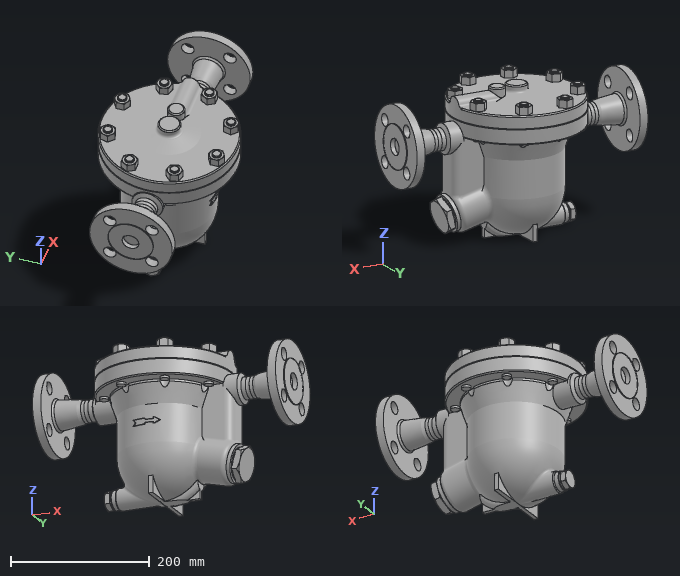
import cadquery as cq
import math

body_radius = 71.0
shell_top = 129.7
cone_top = 159.8
cone_top_radius = 81.0
flange_bottom = 163.2
joint_height = 187.0
cover_top = 207.0
total_height = 225.5
cover_radius = 206.0 / 2
rim_chamfer = 2.0
hexagon_chamfer_angle = 30
joint_groove = 0.8

dome_radius = 46.2
dome_crown_height = 213.3
plug_radius = 33.0 / 2
plug_chamfer = 2.0
plug_foot_fillet = 5.0
side_plug_x = 32.0
side_plug_radius = 25.0 / 2
ridge_radius = 13.0
ridge_foot_fillet = 5.8

bolt_count = 8
bolt_circle_radius = 89.0
bolt_pitch = 360 / bolt_count
nut_flats = 21.0
nut_top = 219.5
stud_radius = 14.0 / 2
stud_top = 222.0
stud_bottom = 159.8
stud_chamfer = 1.0
spot_face_radius = 10.8
spot_face_depth = 15.5

pipe_z = 159.5
hub_radius = 46.5 / 2
inlet_hub_end = 108.0
outlet_hub_end = 125.0
hub_chamfer_length = 3.5
stub_radius = 34.0 / 2
weld_groove_radius = 32.0 / 2
weld_position = 10.0
weld_width = 6.0
stub_length = 18.5
neck_start = 23.5
pad_half_length = 100.0
neck_length = 76.0
flange_radius = 125.0 / 2
flange_thickness = 13.5
raised_face_radius = 68.0 / 2
raised_face_height = 1.5
neck_small_radius = 19.0
neck_large_radius = 22.7
neck_foot_radius = 25.0
neck_foot_length = 3.5
bore_radius = 25.0 / 2
bore_depth = 7.5
flange_hole_radius = 19.0 / 2
flange_hole_circle = 90.0
flange_hole_count = 4

duct_end = 114.5
duct_corner_radius = 12.7
duct_bottom = 73.0
holder_tilt = 14
holder_head_x = 127.5
holder_head_z = 42.5
holder_radius = 67.8 / 2
holder_round = 7.5
holder_fillet = 7.7
holder_length = 77.0
holder_washer_radius = 58.0 / 2
holder_washer_thickness = 6.0
holder_gap = 2.0
holder_hex_flats = 49.5
holder_hex_height = 10.8

drain_radius = 33.5 / 2
drain_z = 17.0
drain_fillet = 4.2
drain_boss_end = 72.8
drain_chamfer = 1.5
drain_washer_radius = 30.0 / 2
drain_washer_end = 79.7
drain_neck_radius = 13.0
drain_neck_end = 82.5
drain_hex_end = 91.2
drain_hex_flats = 26.5

rib_thickness = 7.0
rib_reach = 55.0
rib_fillet = 9.2
rib_height = 27.0

arrow_z = 104.5
arrow_tip = 21.0
arrow_height = 1.5


def disc(radius, bottom, top, x=0.0, y=0.0):
    return cq.Workplane("XY", origin=(x, y, bottom)).circle(radius).extrude(top - bottom)


def hexagon(across_flats, height):
    """Hexagon standing on Z = 0, a corner on +X, with its upper corners turned off to a circle."""
    corner_radius = across_flats / 2 / math.cos(math.radians(30))
    inset = corner_radius - across_flats / 2
    drop = inset * math.tan(math.radians(hexagon_chamfer_angle))
    turned = disc(corner_radius, 0, height).faces(">Z").chamfer(drop, inset)
    return cq.Workplane("XY").polygon(6, 2 * corner_radius).extrude(height).intersect(turned)


def make_shell():
    outline = (
        cq.Workplane("XZ")
        .moveTo(0, 0)
        .radiusArc((body_radius, body_radius), -body_radius)
        .lineTo(body_radius, shell_top)
        .lineTo(cone_top_radius, cone_top)
        .lineTo(cone_top_radius, flange_bottom)
        .lineTo(0, flange_bottom)
        .close()
    )
    spot_face = disc(spot_face_radius, flange_bottom - spot_face_depth, flange_bottom, bolt_circle_radius)
    return outline.revolve(360, (0, 0), (0, 1)).cut(at_bolts(spot_face))


def make_flange_and_cover():
    groove_radius = cover_radius - joint_groove
    outline = (
        cq.Workplane("XZ")
        .moveTo(0, flange_bottom)
        .lineTo(cover_radius - rim_chamfer, flange_bottom)
        .lineTo(cover_radius, flange_bottom + rim_chamfer)
        .lineTo(cover_radius, joint_height - joint_groove)
        .lineTo(groove_radius, joint_height)
        .lineTo(cover_radius, joint_height + joint_groove)
        .lineTo(cover_radius, cover_top - rim_chamfer)
        .lineTo(cover_radius - rim_chamfer, cover_top)
        .lineTo(dome_radius, cover_top)
        .lineTo(plug_radius + plug_foot_fillet, dome_crown_height)
        .radiusArc((plug_radius, dome_crown_height + plug_foot_fillet), plug_foot_fillet)
        .lineTo(plug_radius, total_height - plug_chamfer)
        .lineTo(plug_radius - plug_chamfer, total_height)
        .lineTo(0, total_height)
        .close()
    )
    return outline.revolve(360, (0, 0), (0, 1))


def make_ridge():
    """Half-round passage with flared feet, running from the side plug to the rim of the cover."""
    fillet_reach = ridge_radius + ridge_foot_fillet
    foot = math.sqrt(fillet_reach ** 2 - ridge_foot_fillet ** 2)
    side_y = foot * ridge_radius / fillet_reach
    side_z = ridge_foot_fillet * ridge_radius / fillet_reach
    ridge = (
        cq.Workplane("YZ", origin=(side_plug_x, 0, cover_top))
        .moveTo(-foot, -rim_chamfer)
        .lineTo(-foot, 0)
        .radiusArc((-side_y, side_z), -ridge_foot_fillet)
        .threePointArc((0, ridge_radius), (side_y, side_z))
        .radiusArc((foot, 0), -ridge_foot_fillet)
        .lineTo(foot, -rim_chamfer)
        .close()
        .extrude(cover_radius - side_plug_x)
    )
    return ridge.intersect(disc(cover_radius, cover_top - rim_chamfer, total_height))


def make_side_plug():
    return disc(side_plug_radius, joint_height, total_height, side_plug_x).faces(">Z").chamfer(plug_chamfer)


def at_bolts(shape):
    """Copy a shape built on the +X axis to every bolt place."""
    copies = cq.Workplane("XY")
    for index in range(bolt_count):
        angle = (index + 0.5) * bolt_pitch
        copies = copies.add(shape.rotate((0, 0, 0), (0, 0, 1), angle))
    return copies.combine()


def make_bolt():
    nut = hexagon(nut_flats, nut_top - cover_top).rotate((0, 0, 0), (0, 0, 1), bolt_pitch / 2)
    nut = nut.translate((bolt_circle_radius, 0, cover_top))
    stud = disc(stud_radius, stud_bottom, stud_top, bolt_circle_radius).faces(">Z").chamfer(stud_chamfer)
    return nut.union(stud)


def make_connection(hub_end):
    """Hub, neck and pipe flange along +Z, starting on the main axis."""
    sealing_face = hub_end + neck_length
    flange_front = sealing_face - raised_face_height
    flange_back = flange_front - flange_thickness
    weld_middle = hub_end + weld_position
    weld_start = weld_middle - weld_width / 2
    weld_end = weld_middle + weld_width / 2
    connection = (
        cq.Workplane("XZ")
        .lineTo(hub_radius, 0)
        .lineTo(hub_radius, hub_end - hub_chamfer_length)
        .lineTo(stub_radius, hub_end)
        .lineTo(stub_radius, weld_start)
        .threePointArc((weld_groove_radius, weld_middle), (stub_radius, weld_end))
        .lineTo(stub_radius, hub_end + stub_length)
        .lineTo(neck_small_radius, hub_end + neck_start)
        .lineTo(neck_large_radius, flange_back - neck_foot_length)
        .lineTo(neck_foot_radius, flange_back)
        .lineTo(flange_radius, flange_back)
        .lineTo(flange_radius, flange_front)
        .lineTo(raised_face_radius, flange_front)
        .lineTo(raised_face_radius, sealing_face)
        .lineTo(0, sealing_face)
        .close()
        .revolve(360, (0, 0), (0, 1))
    )
    holes = (
        cq.Workplane("XY", origin=(0, 0, flange_back))
        .polarArray(flange_hole_circle / 2, 45, 360, flange_hole_count)
        .circle(flange_hole_radius)
        .extrude(flange_thickness)
    )
    bore = disc(bore_radius, sealing_face - bore_depth, sealing_face)
    return connection.cut(holes).cut(bore)


def make_connections():
    inlet = make_connection(inlet_hub_end).rotate((0, 0, 0), (0, 1, 0), -90)
    outlet = make_connection(outlet_hub_end).rotate((0, 0, 0), (0, 1, 0), 90)
    pad = cq.Workplane("XY").box(
        2 * pad_half_length, 2 * hub_radius, flange_bottom - pipe_z + rim_chamfer, centered=(True, True, False)
    )
    return inlet.union(outlet).union(pad).translate((0, 0, pipe_z))


def make_duct():
    return (
        cq.Workplane("XY", origin=(0, 0, duct_bottom))
        .rect(2 * duct_end, 2 * hub_radius)
        .extrude(pipe_z - duct_bottom)
        .edges("|Z and >X")
        .fillet(duct_corner_radius)
        .intersect(cq.Workplane("XY").box(duct_end, body_radius, pipe_z, centered=(False, True, False)))
    )


def along_holder(shape):
    """Move a shape built along +Z, head face at Z = 0, onto the holder axis."""
    return (
        shape.rotate((0, 0, 0), (0, 1, 0), 90 + holder_tilt)
        .translate((holder_head_x, 0, holder_head_z))
    )


def make_holder_boss():
    end = -(holder_hex_height + holder_gap + holder_washer_thickness)
    boss = disc(holder_radius, end - holder_length, end)
    return along_holder(boss.faces(">Z").edges().fillet(holder_round))


def make_holder_plug():
    washer_top = -(holder_hex_height + holder_gap)
    washer = disc(holder_washer_radius, washer_top - holder_washer_thickness, washer_top)
    neck = disc(holder_hex_flats / 2, washer_top, -holder_hex_height)
    head = hexagon(holder_hex_flats, holder_hex_height).translate((0, 0, -holder_hex_height))
    return along_holder(washer.union(neck).union(head))


def make_drain_boss():
    return (
        cq.Workplane("YZ", origin=(0, 0, drain_z))
        .circle(drain_radius)
        .extrude(-drain_boss_end)
        .faces("<X")
        .chamfer(drain_chamfer)
    )


def make_drain_plug():
    washer = disc(drain_washer_radius, drain_boss_end, drain_washer_end)
    neck = disc(drain_neck_radius, drain_washer_end, drain_neck_end)
    head = hexagon(drain_hex_flats, drain_hex_end - drain_neck_end).translate((0, 0, drain_neck_end))
    plug = washer.union(neck).union(head)
    return plug.rotate((0, 0, 0), (0, 1, 0), -90).translate((0, 0, drain_z))


def make_ribs():
    across = cq.Workplane("XY").box(rib_thickness, 2 * rib_reach, rib_height, centered=(True, True, False))
    along = cq.Workplane("XY").box(rib_reach, rib_thickness, rib_height, centered=(False, True, False))
    return across.union(along)


def make_rib_fillets():
    """Rolling-ball fillets between the +X rib and the spherical bottom of the shell."""
    half_rib = rib_thickness / 2
    arc_centre_y = half_rib + rib_fillet
    reach = math.sqrt((body_radius + rib_fillet) ** 2 - arc_centre_y ** 2)
    shrink = body_radius / (body_radius + rib_fillet)
    sphere_y = arc_centre_y * shrink
    sphere_r = reach * shrink
    half = (
        cq.Workplane("XY")
        .moveTo(sphere_r, sphere_y)
        .radiusArc((reach, half_rib), rib_fillet)
        .lineTo(reach, 0)
        .lineTo(sphere_r - half_rib, 0)
        .close()
        .revolve(360, (0, 0), (0, 1))
        .translate((0, 0, body_radius))
    )
    clip = cq.Workplane("XY").box(rib_reach, 2 * arc_centre_y, rib_height, centered=(False, True, False))
    return half.union(half.mirror("XZ")).intersect(clip)


def make_arrow():
    """Raised flow arrow on the -Y side of the shell, following its curvature."""
    half_height = 4.5
    shaft_half_height = 2.5
    upper = [
        (-17.0, 0),
        (-arrow_tip, half_height),
        (-2.7, half_height),
        (-0.8, shaft_half_height),
        (10.8, shaft_half_height),
        (10.8, half_height),
        (12.7, half_height),
        (arrow_tip, 0),
    ]
    lower = [(x, -z) for x, z in reversed(upper[1:-1])]
    face_radius = body_radius + arrow_height
    arrow = cq.Workplane("XZ", origin=(0, 0, arrow_z)).polyline(upper + lower).close().extrude(face_radius)
    return arrow.intersect(disc(face_radius, arrow_z - half_height, arrow_z + half_height))


def join_with_fillet(base, addition, radius):
    """Unite two shapes and fillet the seam, the edges lying on the surface of both."""
    tolerance = 0.005
    joined = base.union(addition)
    skins = [shape.val().Shells()[0] for shape in (base, addition)]
    seam = []
    for edge in joined.edges().vals():
        middle = cq.Vertex.makeVertex(*edge.positionAt(0.5).toTuple())
        if all(skin.distance(middle) < tolerance for skin in skins):
            seam.append(edge)
    return joined.newObject(seam).fillet(radius)


body = make_shell().union(make_duct())
body = join_with_fillet(body, make_holder_boss(), holder_fillet)
body = join_with_fillet(body, make_drain_boss(), drain_fillet)
body = body.union(make_ribs()).union(make_rib_fillets()).union(make_arrow())
body = body.union(make_holder_plug()).union(make_drain_plug())

cover = make_flange_and_cover().union(make_ridge()).union(make_side_plug())

result = body.union(make_connections()).union(cover).union(at_bolts(make_bolt()))